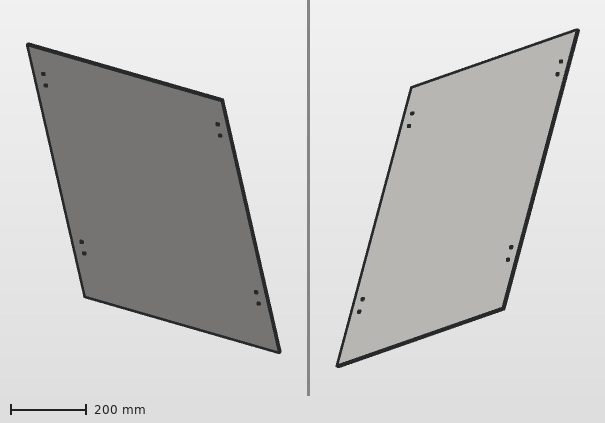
import cadquery as cq

WIDTH = 609.6
LENGTH = 914.4
THICKNESS = 6.35
TILT = 18.075

HOLE_DIAMETER = 6.73
HOLE_SIDE_INSET = 31.75
HOLE_PITCH = 41.275
LOWER_PAIR_START = 168.275
PAIR_SPACING = 609.6


def hole_centres():
    """Hole centres on the plate face, measured from the plate centre."""
    across = WIDTH / 2 - HOLE_SIDE_INSET
    first_row = LOWER_PAIR_START - LENGTH / 2
    centres = []
    for side in (-1, 1):
        for pair_start in (first_row, first_row + PAIR_SPACING):
            for row in (pair_start, pair_start + HOLE_PITCH):
                centres.append((side * across, row))
    return centres


def upright_plate():
    """Drilled plate standing in the XZ plane, centred on the origin."""
    plate = cq.Workplane("XZ").rect(WIDTH, LENGTH).extrude(THICKNESS / 2, both=True)
    holes = (
        cq.Workplane("XZ")
        .pushPoints(hole_centres())
        .circle(HOLE_DIAMETER / 2)
        .extrude(THICKNESS, both=True)
    )
    return plate.cut(holes)


result = upright_plate().rotate((0, 0, 0), (1, 0, 0), TILT)